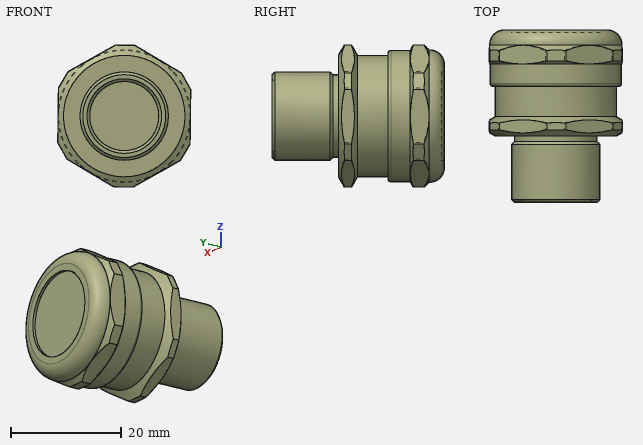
import cadquery as cq
import math


stem_radius = 16.0 / 2
stem_chamfer = 0.5
neck_radius = 15.0 / 2
neck_length = 1.0
shoulder_y = 12.0
stem_recess_mouth_radius = 13.5 / 2
stem_recess_floor_radius = 12.5 / 2
stem_recess_depth = 0.5

across_flats = 24.0
across_trimmed_corners = 25.71
hex_turn = 0.7
hex_half_angle = 360 / 6 / 2
stem_hex_length = 3.5
stem_hex_chamfer_angle = 30.0
nut_hex_front_chamfer_angle = 30.0
nut_hex_back_chamfer_angle = 45.0

body_radius = 22.0 / 2
collar_radius = 23.8 / 2
collar_front_y = 21.0
collar_edge_fillet = 0.5
nut_front_y = 25.0
nut_back_y = 28.45

overall_length = 31.23
cap_rim_radius = 18.6 / 2
cap_recess_radius = 16.0 / 2
cap_recess_depth = 0.5

stem_hex_back_y = shoulder_y + stem_hex_length
cap_base_radius = across_flats / 2
dome_radius = cap_base_radius - cap_rim_radius


def revolve_outline(outline):
    """Turn a closed (radius, y) outline about the Y axis."""
    return outline.close().revolve(360, (0, 0, 0), (0, 1, 0))


def plain_cylinder(radius, start_y, end_y):
    """Cylinder on the Y axis."""
    return cq.Workplane("XZ", origin=(0, start_y, 0)).circle(radius).extrude(start_y - end_y)


def hex_prism(flat_distance, turn, start_y, end_y):
    """Hexagonal prism on the Y axis; with no turn, two of its corners lie on the X axis."""
    corner_diameter = flat_distance / math.cos(math.radians(hex_half_angle))
    prism = cq.Workplane("XZ", origin=(0, start_y, 0)).polygon(6, corner_diameter).extrude(start_y - end_y)
    return prism.rotate((0, 0, 0), (0, 1, 0), turn)


def trimmed_hex(start_y, end_y):
    """Hexagon with flats facing X, its six corners cut flat by a second hexagon."""
    main_hex = hex_prism(across_flats, hex_half_angle + hex_turn, start_y, end_y)
    corner_trim = hex_prism(across_trimmed_corners, hex_turn, start_y, end_y)
    return main_hex.intersect(corner_trim)


def chamfered_hex(start_y, end_y, start_radius, end_radius, start_angle, end_angle):
    """Trimmed hexagon whose two ends are turned down to cones."""
    outer_radius = across_flats / 2 / math.cos(math.radians(hex_half_angle))
    start_rise = (outer_radius - start_radius) * math.tan(math.radians(start_angle))
    end_rise = (outer_radius - end_radius) * math.tan(math.radians(end_angle))
    envelope = revolve_outline(
        cq.Workplane("XY")
        .moveTo(0, start_y)
        .lineTo(start_radius, start_y)
        .lineTo(outer_radius, start_y + start_rise)
        .lineTo(outer_radius, end_y - end_rise)
        .lineTo(end_radius, end_y)
        .lineTo(0, end_y)
    )
    return trimmed_hex(start_y, end_y).intersect(envelope)


def stem():
    """Threaded stem with an undercut neck below the shoulder and a shallow recess in its end."""
    neck_y = shoulder_y - neck_length
    return revolve_outline(
        cq.Workplane("XY")
        .moveTo(0, stem_recess_depth)
        .lineTo(stem_recess_floor_radius, stem_recess_depth)
        .lineTo(stem_recess_mouth_radius, 0)
        .lineTo(stem_radius - stem_chamfer, 0)
        .lineTo(stem_radius, stem_chamfer)
        .lineTo(stem_radius, neck_y - stem_chamfer)
        .lineTo(neck_radius, neck_y)
        .lineTo(neck_radius, shoulder_y)
        .lineTo(0, shoulder_y)
    )


def body():
    """Plain cylinder between the two hexagons, with the wider collar of the nut."""
    cylinder = plain_cylinder(body_radius, shoulder_y, nut_front_y)
    collar = plain_cylinder(collar_radius, collar_front_y, nut_front_y)
    collar = collar.faces("<Y").edges().fillet(collar_edge_fillet)
    return cylinder.union(collar)


def cap():
    """Rounded cap behind the nut, ending in a flat rim around a shallow round recess."""
    dome_start_y = overall_length - dome_radius
    dome_middle = dome_radius / math.sqrt(2)
    recess_y = overall_length - cap_recess_depth
    return revolve_outline(
        cq.Workplane("XY")
        .moveTo(0, nut_back_y)
        .lineTo(cap_base_radius, nut_back_y)
        .lineTo(cap_base_radius, dome_start_y)
        .threePointArc(
            (cap_rim_radius + dome_middle, dome_start_y + dome_middle),
            (cap_rim_radius, overall_length),
        )
        .lineTo(cap_recess_radius, overall_length)
        .lineTo(cap_recess_radius, recess_y)
        .lineTo(0, recess_y)
    )


stem_hex = chamfered_hex(
    shoulder_y,
    stem_hex_back_y,
    body_radius,
    body_radius,
    stem_hex_chamfer_angle,
    stem_hex_chamfer_angle,
)
nut_hex = chamfered_hex(
    nut_front_y,
    nut_back_y,
    collar_radius,
    cap_base_radius,
    nut_hex_front_chamfer_angle,
    nut_hex_back_chamfer_angle,
)

result = stem().union(body()).union(stem_hex).union(nut_hex).union(cap())